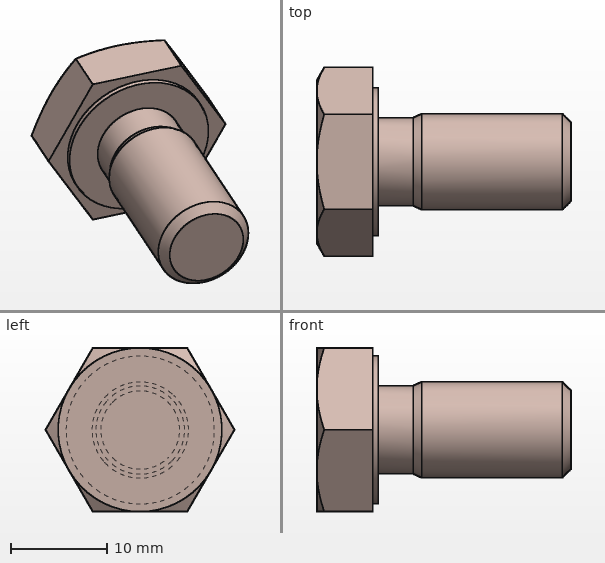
import cadquery as cq
import math

total_length = 26.4
across_flats = 17.0
head_height = 5.8
head_chamfer_angle = 30.0
washer_diameter = 15.4
washer_thickness = 0.58
neck_diameter = 9.2
neck_end = 10.0
thread_diameter = 10.0
thread_start = 10.9
tip_diameter = 8.15
tip_chamfer_length = 0.92

across_corners = across_flats / math.cos(math.radians(30))
neck_start = head_height + washer_thickness
tip_start = total_length - tip_chamfer_length


def revolve_about_x(points):
    """Revolve a closed (X, radius) outline about the X axis."""
    return cq.Workplane("XY").polyline(points).close().revolve(360, (0, 0, 0), (1, 0, 0))


def make_head():
    """Hexagonal prism, corners on +/-Y, with its outer corners chamfered by a cone."""
    prism = cq.Workplane("YZ").polygon(6, across_corners).extrude(head_height)
    envelope_radius = across_corners
    cone_length = (envelope_radius - across_flats / 2) * math.tan(math.radians(head_chamfer_angle))
    envelope = revolve_about_x([
        (0, 0),
        (0, across_flats / 2),
        (cone_length, envelope_radius),
        (head_height + cone_length, envelope_radius),
        (head_height + cone_length, 0),
    ])
    return prism.intersect(envelope)


def make_shank():
    """Washer face, neck, thread cylinder and chamfered tip."""
    return revolve_about_x([
        (head_height, 0),
        (head_height, washer_diameter / 2),
        (neck_start, washer_diameter / 2),
        (neck_start, neck_diameter / 2),
        (neck_end, neck_diameter / 2),
        (thread_start, thread_diameter / 2),
        (tip_start, thread_diameter / 2),
        (total_length, tip_diameter / 2),
        (total_length, 0),
    ])


result = make_head().union(make_shank())